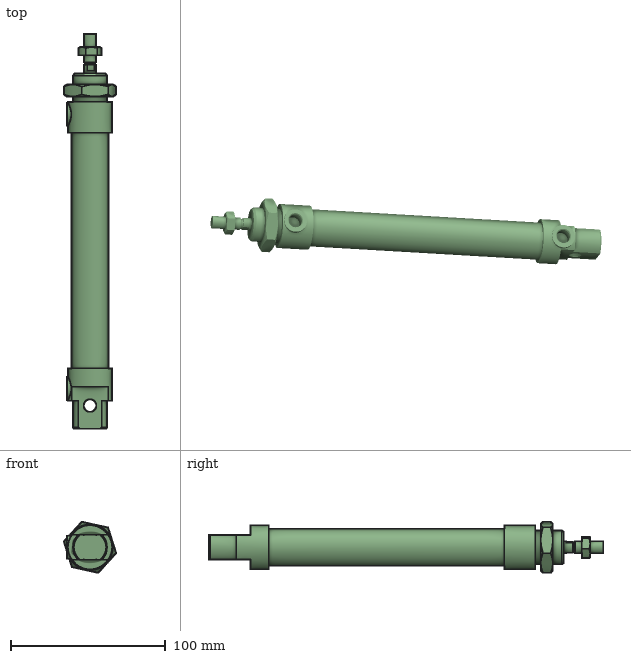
import cadquery as cq
import math


overall_length = 255.0
rod_thread_length = 20.0
shoulder_to_front_cap = 24.0
front_cap_length = 20.0
rear_cap_face_y = 18.0
rear_cap_length = 21.0
nose_length = 18.5

rod_shoulder_y = overall_length - rod_thread_length
front_cap_face_y = rod_shoulder_y - shoulder_to_front_cap
front_cap_back_y = front_cap_face_y - front_cap_length
nose_face_y = front_cap_face_y + nose_length
rear_cap_front_y = rear_cap_face_y + rear_cap_length

tube_diameter = 24.0
cap_diameter = 28.5
nose_diameter = 22.0
nose_chamfer_length = 1.5
nose_chamfer_radial = 1.0

tang_diameter = 22.0
tang_thickness = 16.0
tang_chamfer_length = 1.0
tang_chamfer_radial = 0.6
cap_flat_length = 9.0
pivot_hole_diameter = 8.0
pivot_hole_y = 15.0

port_boss_diameter = 15.0
port_inset = 8.0
port_boss_face_x = -15.0
port_hole_diameter = 8.7
port_hole_depth = 8.0
port_chamfer = 0.6

rod_diameter = 8.0
undercut_diameter = 6.5
undercut_length = 1.7
undercut_taper_length = 0.6
wrench_flats_across = 6.5
wrench_flat_length = 4.0
rod_roll_angle = 8.0

rod_nut_across_flats = 13.0
rod_nut_thickness = 5.5
rod_nut_front_gap = 8.5
mounting_nut_across_flats = 30.0
mounting_nut_thickness = 8.0
mounting_nut_cap_gap = 3.4
mounting_nut_roll_angle = 12.35
nut_chamfer_angle = 30.0
nut_face_inset = 0.25


def cylinder_along_y(diameter, start_y, end_y):
    """Solid cylinder on the Y axis between two stations."""
    return cq.Workplane("XZ", origin=(0, start_y, 0)).circle(diameter / 2).extrude(start_y - end_y)


def revolve_about_y(profile):
    """Solid of revolution from (radius, Y) points, closed along the Y axis."""
    start_y = profile[0][1]
    end_y = profile[-1][1]
    outline = [(0, start_y), *profile, (0, end_y)]
    return cq.Workplane("XY").polyline(outline).close().revolve(360, (0, 0, 0), (0, 1, 0))


def slab_along_y(thickness, start_y, end_y):
    """Wide slab of the given Z thickness between two stations."""
    length = end_y - start_y
    return cq.Workplane("XY").box(2 * cap_diameter, length, thickness).translate((0, start_y + length / 2, 0))


def roll(body, angle):
    """Turn a body about the Y axis, from +Z toward +X."""
    return body.rotate((0, 0, 0), (0, 1, 0), angle)


def port_boss(center_y):
    """Round boss reaching from the axis to the port face on the -X side."""
    face = cq.Workplane("YZ", origin=(0, center_y, 0))
    return face.circle(port_boss_diameter / 2).extrude(port_boss_face_x)


def port_hole(center_y):
    """Blind port hole with a chamfered mouth."""
    hole_radius = port_hole_diameter / 2
    mouth_radius = hole_radius + port_chamfer
    face = cq.Workplane("YZ", origin=(port_boss_face_x, center_y, 0))
    hole = face.circle(hole_radius).extrude(port_hole_depth)
    mouth = cq.Solid.makeCone(
        mouth_radius,
        hole_radius,
        port_chamfer,
        pnt=cq.Vector(port_boss_face_x, center_y, 0),
        dir=cq.Vector(1, 0, 0),
    )
    return hole.union(cq.Workplane(mouth))


def make_nose():
    """Threaded collar with a steep chamfer at its front."""
    radius = nose_diameter / 2
    return revolve_about_y([
        (radius, front_cap_back_y),
        (radius, nose_face_y - nose_chamfer_length),
        (radius - nose_chamfer_radial, nose_face_y),
    ])


def make_rear_end():
    """Rear cap whose back part is flattened and continues as the clevis tang."""
    cap = cylinder_along_y(cap_diameter, rear_cap_face_y, rear_cap_front_y)
    tang_radius = tang_diameter / 2
    tang = revolve_about_y([
        (tang_radius - tang_chamfer_radial, 0),
        (tang_radius, tang_chamfer_length),
        (tang_radius, rear_cap_front_y),
    ])
    flats_end_y = rear_cap_face_y + cap_flat_length
    flattened = cap.union(tang).intersect(slab_along_y(tang_thickness, 0, flats_end_y))
    full_round = cylinder_along_y(cap_diameter, flats_end_y, rear_cap_front_y)
    return flattened.union(full_round)


def make_cylinder_body():
    tube = cylinder_along_y(tube_diameter, rear_cap_face_y + cap_flat_length, front_cap_face_y)
    front_cap = cylinder_along_y(cap_diameter, front_cap_back_y, front_cap_face_y)
    body = tube.union(front_cap).union(make_nose()).union(make_rear_end())

    port_stations = (rear_cap_face_y + port_inset, front_cap_face_y - port_inset)
    for port_y in port_stations:
        body = body.union(port_boss(port_y))
    for port_y in port_stations:
        body = body.cut(port_hole(port_y))

    pivot_hole = (
        cq.Workplane("XY", origin=(0, pivot_hole_y, 0))
        .circle(pivot_hole_diameter / 2)
        .extrude(tang_thickness / 2, both=True)
    )
    rod_bore = cylinder_along_y(rod_diameter, front_cap_back_y, nose_face_y)
    return body.cut(pivot_hole).cut(rod_bore)


def make_piston_rod():
    radius = rod_diameter / 2
    neck_radius = undercut_diameter / 2
    thread_end_y = rod_shoulder_y + undercut_length
    rod = revolve_about_y([
        (radius, front_cap_back_y),
        (radius, rod_shoulder_y),
        (neck_radius, rod_shoulder_y),
        (neck_radius, thread_end_y - undercut_taper_length),
        (radius, thread_end_y),
        (radius, overall_length),
    ])
    flats_start_y = rod_shoulder_y - wrench_flat_length
    flat_zone = cylinder_along_y(2 * rod_diameter, flats_start_y, rod_shoulder_y)
    kept_core = slab_along_y(wrench_flats_across, flats_start_y, rod_shoulder_y)
    flat_cuts = flat_zone.cut(kept_core)
    return roll(rod.cut(flat_cuts), rod_roll_angle)


def make_hex_nut(across_flats, thickness, bore_diameter, back_y, roll_angle, chamfer_back):
    """Hex nut on the Y axis with flats facing +Z before the roll; corners chamfered conically."""
    corner_radius = across_flats / math.sqrt(3)
    face_radius = across_flats / 2 - nut_face_inset
    chamfer_length = (corner_radius - face_radius) * math.tan(math.radians(nut_chamfer_angle))
    front_y = back_y + thickness
    prism = (
        cq.Workplane("XZ", origin=(0, back_y, 0))
        .polygon(6, 2 * corner_radius)
        .circle(bore_diameter / 2)
        .extrude(-thickness)
    )
    front_profile = [
        (corner_radius, front_y - chamfer_length),
        (face_radius, front_y),
    ]
    if chamfer_back:
        back_profile = [(face_radius, back_y), (corner_radius, back_y + chamfer_length)]
    else:
        back_profile = [(corner_radius, back_y)]
    envelope = revolve_about_y(back_profile + front_profile)
    return roll(prism.intersect(envelope), roll_angle)


cylinder_body = make_cylinder_body()
piston_rod = make_piston_rod()
rod_nut = make_hex_nut(
    rod_nut_across_flats,
    rod_nut_thickness,
    rod_diameter,
    overall_length - rod_nut_front_gap - rod_nut_thickness,
    rod_roll_angle,
    chamfer_back=False,
)
mounting_nut = make_hex_nut(
    mounting_nut_across_flats,
    mounting_nut_thickness,
    nose_diameter,
    front_cap_face_y + mounting_nut_cap_gap,
    mounting_nut_roll_angle,
    chamfer_back=True,
)

result = cq.Compound.makeCompound(
    [cylinder_body.val(), piston_rod.val(), rod_nut.val(), mounting_nut.val()]
)